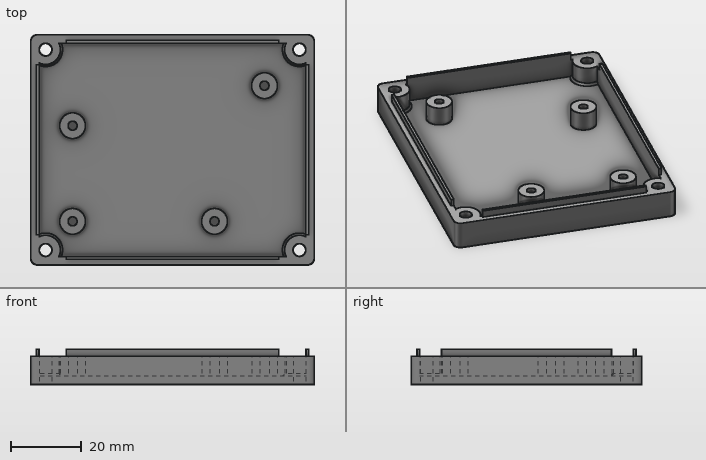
import cadquery as cq

LENGTH = 80.0
WIDTH = 65.0
RIM_HEIGHT = 8.0
FLOOR = 2.5
WALL = 2.4
CORNER_RADIUS = 2.0

LIP_HEIGHT = 2.0
LIP_THICKNESS = 0.8
LIP_LENGTH_X = 60.0
LIP_LENGTH_Y = 48.0

SCREW_INSET = 4.2
SCREW_HOLE_DIAMETER = 3.5
BOSS_RADIUS = 4.2
BOSS_FOOT_CHAMFER = 0.6

STANDOFF_DIAMETER = 7.3
STANDOFF_HEIGHT = RIM_HEIGHT - FLOOR
STANDOFF_BORE = 2.6
STANDOFF_PLACES = [(-28.2, 6.8), (-28.2, -20.2), (11.8, -20.2), (25.9, 18.1)]

CAVITY_LENGTH = LENGTH - 2 * WALL
CAVITY_WIDTH = WIDTH - 2 * WALL
SCREW_X = LENGTH / 2 - SCREW_INSET
SCREW_Y = WIDTH / 2 - SCREW_INSET


def make_corner_bosses():
    """Round posts at the four screw places, each with a conical flare at its foot."""
    foot_radius = BOSS_RADIUS + BOSS_FOOT_CHAMFER
    profile = [
        (0, FLOOR),
        (foot_radius, FLOOR),
        (BOSS_RADIUS, FLOOR + BOSS_FOOT_CHAMFER),
        (BOSS_RADIUS, RIM_HEIGHT),
        (0, RIM_HEIGHT),
    ]
    boss = cq.Workplane("XZ").polyline(profile).close().revolve(360, (0, 0), (0, 1))
    bosses = cq.Workplane("XY")
    for side_x in (-1, 1):
        for side_y in (-1, 1):
            bosses = bosses.union(boss.translate((side_x * SCREW_X, side_y * SCREW_Y, 0)))
    return bosses


def make_cavity():
    """Hollow of the tray, going around the four corner bosses."""
    cavity = (
        cq.Workplane("XY")
        .workplane(offset=FLOOR)
        .rect(CAVITY_LENGTH, CAVITY_WIDTH)
        .extrude(RIM_HEIGHT - FLOOR)
    )
    return cavity.cut(make_corner_bosses())


def make_lips():
    """Four straight lips, one along each wall."""
    lip_x = CAVITY_LENGTH / 2 + LIP_THICKNESS / 2
    lip_y = CAVITY_WIDTH / 2 + LIP_THICKNESS / 2
    long_lips = (
        cq.Workplane("XY")
        .workplane(offset=RIM_HEIGHT)
        .pushPoints([(0, -lip_y), (0, lip_y)])
        .rect(LIP_LENGTH_X, LIP_THICKNESS)
        .extrude(LIP_HEIGHT)
    )
    short_lips = (
        cq.Workplane("XY")
        .workplane(offset=RIM_HEIGHT)
        .pushPoints([(-lip_x, 0), (lip_x, 0)])
        .rect(LIP_THICKNESS, LIP_LENGTH_Y)
        .extrude(LIP_HEIGHT)
    )
    return long_lips.union(short_lips)


def make_housing():
    """Open tray with lips and a screw hole through each corner boss."""
    block = (
        cq.Workplane("XY")
        .rect(LENGTH, WIDTH)
        .extrude(RIM_HEIGHT)
        .edges("|Z")
        .fillet(CORNER_RADIUS)
    )
    screw_holes = (
        cq.Workplane("XY")
        .rect(2 * SCREW_X, 2 * SCREW_Y, forConstruction=True)
        .vertices()
        .circle(SCREW_HOLE_DIAMETER / 2)
        .extrude(RIM_HEIGHT)
    )
    return block.cut(make_cavity()).union(make_lips()).cut(screw_holes)


def make_standoff(place):
    """Round post with a bore along its whole height, standing on the floor."""
    return (
        cq.Workplane("XY")
        .workplane(offset=FLOOR)
        .center(*place)
        .circle(STANDOFF_DIAMETER / 2)
        .circle(STANDOFF_BORE / 2)
        .extrude(STANDOFF_HEIGHT)
    )


housing = make_housing()
standoffs = [make_standoff(place) for place in STANDOFF_PLACES]

result = cq.Compound.makeCompound([housing.val(), *[standoff.val() for standoff in standoffs]])